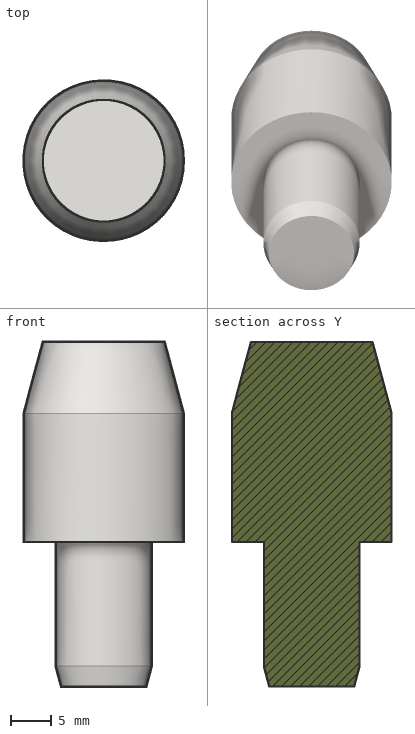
import cadquery as cq
import math

total_length = 43.0
head_diameter = 20.0
head_straight_length = 16.0
shank_diameter = 12.0
shank_length = 18.0
lead_in_length = 2.6
taper_angle = 15.0

head_radius = head_diameter / 2
shank_radius = shank_diameter / 2
taper_slope = math.tan(math.radians(taper_angle))
shoulder_height = shank_length
nose_start = shoulder_height + head_straight_length
nose_length = total_length - nose_start
nose_radius = head_radius - nose_length * taper_slope
lead_in_radius = shank_radius - lead_in_length * taper_slope

half_profile = [
    (0, 0),
    (lead_in_radius, 0),
    (shank_radius, lead_in_length),
    (shank_radius, shoulder_height),
    (head_radius, shoulder_height),
    (head_radius, nose_start),
    (nose_radius, total_length),
    (0, total_length),
]

result = cq.Workplane("XZ").polyline(half_profile).close().revolve(360, (0, 0), (0, 1))